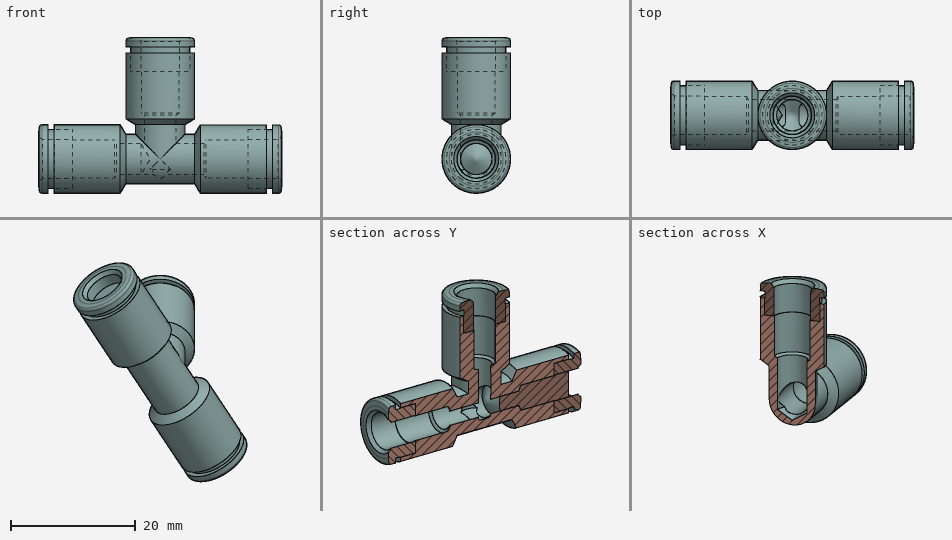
import cadquery as cq
import math

port_reach = 19.5
body_diameter = 11.0
neck_diameter = 8.0
neck_end = 5.5
flare_end = 6.45
groove_from_face = 2.5
mouth = port_reach - groove_from_face

flange_thickness = 1.52
stem_diameter = 9.5
stem_inner_end = 14.05
collet_bore = 6.2
lead_in_diameter = 7.2
lead_in_depth = 0.65
rim_diameter = 10.3
face_diameter = 8.65
face_rise = 0.1
corner_height = 0.45

tube_seat_diameter = 6.1
tube_stop = 7.02
passage_diameter = 5.0
drill_half_angle = math.radians(59.0)
seat_step_height = (tube_seat_diameter - passage_diameter) / 2 / math.tan(drill_half_angle)
seat_start = tube_stop + seat_step_height
drill_tip_height = passage_diameter / 2 / math.tan(drill_half_angle)
branch_tip = -3.15

plug_recess = 2.55
plug_tip = 1.6

PORT_TILTS = {"left": -90, "branch": 0, "right": 90}


def turned(outline):
    """Revolve a closed (radius, height) outline about the Z axis."""
    return outline.close().revolve(360, (0, 0, 0), (0, 1, 0))


def to_port(shape, port):
    """Tip a shape from the Z axis onto the axis of a port."""
    return shape.rotate((0, 0, 0), (0, 1, 0), PORT_TILTS[port])


def make_arm():
    outline = cq.Workplane("XZ").polyline([
        (0, 0),
        (neck_diameter / 2, 0),
        (neck_diameter / 2, neck_end),
        (body_diameter / 2, flare_end),
        (body_diameter / 2, mouth),
        (0, mouth),
    ])
    return turned(outline)


def make_port_cavity():
    """Collet socket, tube seat with a conical bottom, and passage of one port."""
    outline = cq.Workplane("XZ").polyline([
        (0, 0),
        (passage_diameter / 2, 0),
        (passage_diameter / 2, tube_stop),
        (tube_seat_diameter / 2, seat_start),
        (tube_seat_diameter / 2, stem_inner_end),
        (stem_diameter / 2, stem_inner_end),
        (stem_diameter / 2, mouth),
        (0, mouth),
    ])
    return turned(outline)


def make_branch_drilling():
    """Blind end of the branch passage, with a conical bottom."""
    outline = cq.Workplane("XZ").polyline([
        (0, branch_tip),
        (passage_diameter / 2, branch_tip + drill_tip_height),
        (passage_diameter / 2, tube_stop),
        (0, tube_stop),
    ])
    return turned(outline)


def make_housing():
    body = make_arm()
    for port in ("left", "right"):
        body = body.union(to_port(make_arm(), port))
    for port in PORT_TILTS:
        body = body.cut(to_port(make_port_cavity(), port))
    return body.cut(make_branch_drilling())


def make_collet():
    """Release collet: flange with a rounded corner, and a stem that enters the housing."""
    flange_radius = body_diameter / 2
    rim_radius = rim_diameter / 2
    rim_height = port_reach - face_rise
    corner_bottom = rim_height - corner_height
    outline = (
        cq.Workplane("XZ")
        .moveTo(collet_bore / 2, stem_inner_end)
        .lineTo(stem_diameter / 2, stem_inner_end)
        .lineTo(stem_diameter / 2, port_reach - flange_thickness)
        .lineTo(flange_radius, port_reach - flange_thickness)
        .lineTo(flange_radius, corner_bottom)
        .tangentArcPoint((rim_radius, rim_height), relative=False)
        .lineTo(face_diameter / 2, port_reach)
        .lineTo(lead_in_diameter / 2, port_reach)
        .lineTo(collet_bore / 2, port_reach - lead_in_depth)
    )
    return turned(outline)


def make_plug():
    """Stepped plug that fills the port and ends in a point."""
    plug_face = port_reach - plug_recess
    outline = cq.Workplane("XZ").polyline([
        (0, plug_tip),
        (passage_diameter / 2, plug_tip + drill_tip_height),
        (passage_diameter / 2, tube_stop),
        (tube_seat_diameter / 2, seat_start),
        (tube_seat_diameter / 2, stem_inner_end),
        (collet_bore / 2, stem_inner_end),
        (collet_bore / 2, plug_face),
        (0, plug_face),
    ])
    return turned(outline)


housing = make_housing()
collets = [to_port(make_collet(), port) for port in PORT_TILTS]
plug = to_port(make_plug(), "left")

result = cq.Compound.makeCompound([
    housing.val(),
    *[collet.val() for collet in collets],
    plug.val(),
])